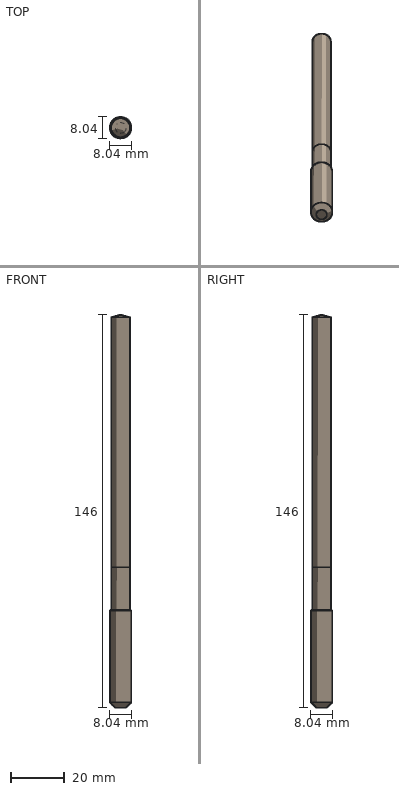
import cadquery as cq

total_length = 146.0
rod_radius = 3.5
sleeve_radius = 4.02

shoulder_height = 36.5
joint_height = 52.1

sleeve_height = shoulder_height - (sleeve_radius - rod_radius)

nose_chamfer = 2.0
cone_height = 1.0


def make_tip():
    """Lower body: chamfered sleeve with a slimmer neck that carries the rod."""
    half_profile = [
        (0, 0),
        (sleeve_radius - nose_chamfer, 0),
        (sleeve_radius, nose_chamfer),
        (sleeve_radius, sleeve_height),
        (rod_radius, shoulder_height),
        (rod_radius, joint_height),
        (0, joint_height),
    ]
    return cq.Workplane("XZ").polyline(half_profile).close().revolve(360, (0, 0), (0, 1))


def make_rod():
    """Upper body: plain round rod standing on the neck, ending in a shallow cone."""
    half_profile = [
        (0, joint_height),
        (rod_radius, joint_height),
        (rod_radius, total_length - cone_height),
        (0, total_length),
    ]
    return cq.Workplane("XZ").polyline(half_profile).close().revolve(360, (0, 0), (0, 1))


tip = make_tip()
rod = make_rod()

result = cq.Compound.makeCompound([tip.val(), rod.val()])